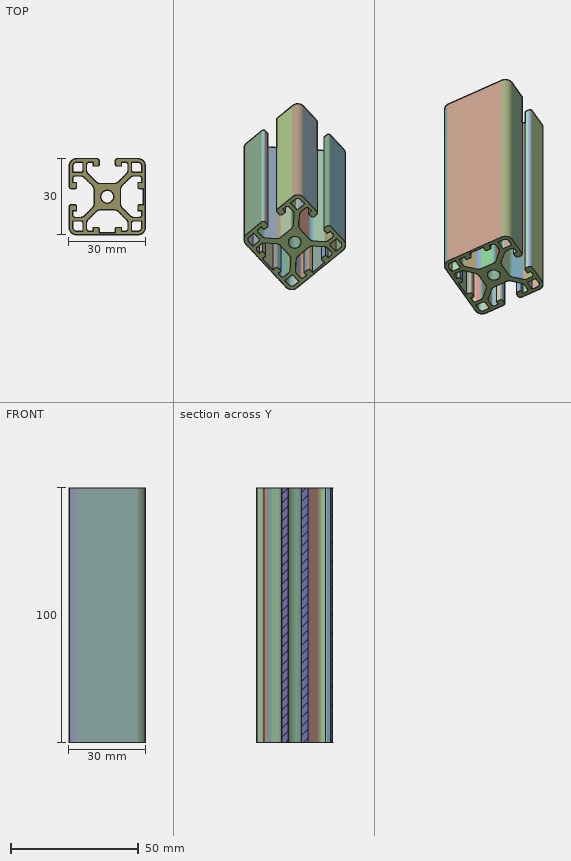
import cadquery as cq
import math

width = 30.0
length = 100.0
corner_radius = 3.0
wall = 1.5
bore_diameter = 5.0
half_width = width / 2
wall_inner = half_width - wall

core_half = 5.2
chamber_half = 8.1
web_offset = 1.5
lip_half = 5.6
lip_inner = 12.0
opening_half = 3.1
closed_wall = 0.9
core_round = 2.5
web_round = 2.0
chamber_round = 0.9
lip_round = 0.8
mouth_round = 1.0
cutter_reach = width
sharp = 0.0

cell_inner = 9.6
cell_outer_round = corner_radius - wall
cell_inner_round = 0.6

open_slots = (0, 90)
closed_slots = (180, 270)


def rounded_prism(corners):
    """Extrude a closed outline of (x, y, radius) corners over the full length."""
    outline = None
    for index, (x, y, radius) in enumerate(corners):
        here = cq.Vector(x, y)
        before = cq.Vector(*corners[index - 1][:2])
        after = cq.Vector(*corners[(index + 1) % len(corners)][:2])
        to_before = (before - here).normalized()
        to_after = (after - here).normalized()
        half_angle = to_before.getAngle(to_after) / 2
        setback = radius / math.tan(half_angle)
        arc_gap = radius / math.sin(half_angle) - radius
        start = here + to_before * setback
        if outline is None:
            outline = cq.Workplane("XY").moveTo(start.x, start.y)
        else:
            outline = outline.lineTo(start.x, start.y)
        if radius > 0:
            middle = here + (to_before + to_after).normalized() * arc_gap
            end = here + to_after * setback
            outline = outline.threePointArc((middle.x, middle.y), (end.x, end.y))
    return outline.close().extrude(length)


def slot(mouth_side):
    """Slot on the +Y side; mouth_side lists its right-hand corners beyond the lip."""
    right_side = [
        (core_half - web_offset, core_half, core_round),
        (chamber_half, chamber_half + web_offset, web_round),
        (chamber_half, wall_inner, chamber_round),
        (lip_half, wall_inner, sharp),
        (lip_half, lip_inner, sharp),
        (opening_half, lip_inner, lip_round),
    ] + mouth_side
    left_side = [(-x, y, radius) for x, y, radius in reversed(right_side)]
    return rounded_prism(right_side + left_side)


def corner_cell():
    """Hollow cell in the +X +Y corner."""
    return rounded_prism([
        (cell_inner, cell_inner, cell_inner_round),
        (wall_inner, cell_inner, sharp),
        (wall_inner, wall_inner, cell_outer_round),
        (cell_inner, wall_inner, sharp),
    ])


def turned(solid, angle):
    """Rotate a solid about the profile axis."""
    return solid.rotate((0, 0, 0), (0, 0, 1), angle)


result = cq.Workplane("XY").rect(width, width).extrude(length).edges("|Z").fillet(corner_radius)
result = result.cut(cq.Workplane("XY").circle(bore_diameter / 2).extrude(length))

open_slot = slot([
    (opening_half, half_width, mouth_round),
    (lip_half, half_width, sharp),
    (lip_half, cutter_reach, sharp),
])
for angle in open_slots:
    result = result.cut(turned(open_slot, angle))

closed_slot = slot([(opening_half, half_width - closed_wall, sharp)])
for angle in closed_slots:
    result = result.cut(turned(closed_slot, angle))

for quarter in range(4):
    result = result.cut(turned(corner_cell(), 90 * quarter))